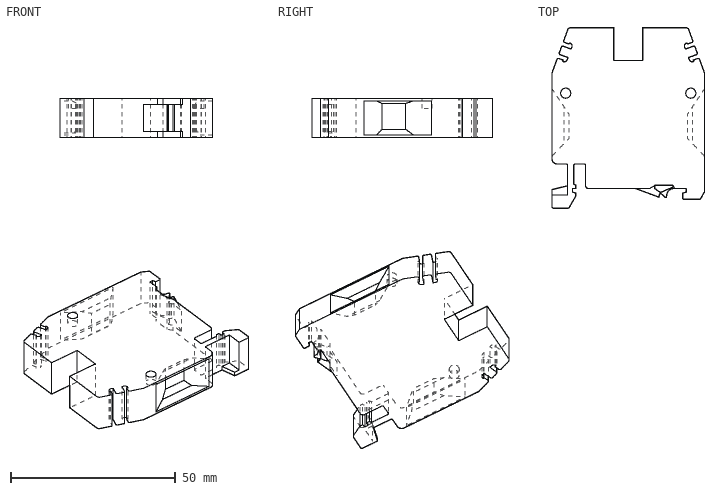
import cadquery as cq
import math

width = 46.5
height = 55.0
thickness = 12.0
half_width = width / 2

shoulder_y = 41.2
shoulder_angle = math.radians(20)
shoulder_radius = 1.9
top_corner_radius = 0.95
slot_width = 1.15
slot_depth = 2.95
hook_start = 1.9
hook_size = 0.45
hook_radius = 0.95
lower_slot_start = 4.9
upper_slot_start = 8.85
mouth_radius = 0.5

notch_width = 8.8
notch_depth = 10.0

hole_diameter = 3.1
hole_depth = 3.1
hole_x = 19.05
hole_y = 35.05

entry_bottom = 15.85
entry_top = 36.4
entry_floor_bottom = 21.35
entry_floor_top = 28.55
entry_depth = 5.3
entry_straight_depth = 3.65
entry_wall = 0.75
entry_floor_low = 2.55
entry_floor_high = thickness - 1.6

base_y = 6.0
base_corner_radius = 1.0
arm_root_y = 13.5
arm_left = -18.55
arm_right = -16.55
arm_gap_right = -13.05
arm_root_radius = 0.4
body_corner_radius = 1.6
rail_groove_bottom = 4.95
rail_lip_drop = 0.3
foot_slope = math.tan(math.radians(30))

long_foot_top = 4.0
long_foot_tip = -15.95
long_foot_slope_y = 3.7
long_foot_groove_x = -16.95
long_foot_bump_y = 7.05
long_foot_bump_rise = 0.4
long_foot_outer_radius = 0.55
long_foot_inner_radius = 0.75

web_thickness = 1.4
web_outer_y = 5.7
web_inner_y = 6.9

short_foot_bottom = 2.7
short_foot_tip = 16.55
short_foot_groove_x = 17.6
short_foot_slope_y = 5.0
short_foot_radius = 0.4

recess_y = 7.0
recess_left = 6.5
recess_floor_left = 8.15
recess_floor_right = 13.55
recess_right = 14.15
clip_low = 1.9
clip_high = thickness - clip_low
clip_left = 2.2
clip_tip_y = 3.35
clip_neck_x = 9.8
clip_neck_y = 4.75
clip_neck_half = 0.1
wedge_tip_x = 9.35
wedge_back_x = 9.5
wedge_back_y = 4.2
tongue_tip_left = 11.2
tongue_tip_right = 11.6
tongue_curve_start = (11.9, 4.7)
tongue_curve_middle = (12.6, 5.55)
tongue_root_top = 6.6


def rounded_outline(corners):
    """Closed wire through (x, y, radius) corners; radius 0 keeps a corner sharp."""
    wire = None
    for i, (x, y, radius) in enumerate(corners):
        before = cq.Vector(*corners[i - 1][:2])
        after = cq.Vector(*corners[(i + 1) % len(corners)][:2])
        corner = cq.Vector(x, y)
        to_before = (before - corner).normalized()
        to_after = (after - corner).normalized()
        half_angle = to_before.getAngle(to_after) / 2
        tangent = radius / math.tan(half_angle)
        start = corner + to_before * tangent
        if wire is None:
            wire = cq.Workplane("XY").moveTo(start.x, start.y)
        else:
            wire = wire.lineTo(start.x, start.y)
        if radius > 0:
            bisector = (to_before + to_after).normalized()
            middle = corner + bisector * (radius / math.sin(half_angle) - radius)
            end = corner + to_after * tangent
            wire = wire.threePointArc((middle.x, middle.y), (end.x, end.y))
    return wire.close()


def shoulder_point(along, depth, radius):
    """Corner at a distance up the left shoulder and a depth square to it."""
    x = -half_width + along * math.sin(shoulder_angle) + depth * math.cos(shoulder_angle)
    y = shoulder_y + along * math.cos(shoulder_angle) - depth * math.sin(shoulder_angle)
    return (x, y, radius)


def hooked_slot(start, hook_down):
    """Corners of one shoulder slot, from its lower mouth to its upper mouth."""
    end = start + slot_width
    if hook_down:
        hook = start - hook_size
        return [
            shoulder_point(start, 0, mouth_radius),
            shoulder_point(start, hook_start, 0),
            shoulder_point(hook, hook_start, 0),
            shoulder_point(hook, slot_depth, hook_radius),
            shoulder_point(end, slot_depth, 0),
            shoulder_point(end, 0, mouth_radius),
        ]
    hook = end + hook_size
    return [
        shoulder_point(start, 0, mouth_radius),
        shoulder_point(start, slot_depth, 0),
        shoulder_point(hook, slot_depth, hook_radius),
        shoulder_point(hook, hook_start, 0),
        shoulder_point(end, hook_start, 0),
        shoulder_point(end, 0, mouth_radius),
    ]


def upper_left_corners():
    """Left half of the upper outline, from the side up to the notch."""
    shoulder_run = (height - shoulder_y) * math.tan(shoulder_angle)
    return [
        (-half_width, shoulder_y, shoulder_radius),
        *hooked_slot(lower_slot_start, hook_down=True),
        *hooked_slot(upper_slot_start, hook_down=False),
        (-half_width + shoulder_run, height, top_corner_radius),
        (-notch_width / 2, height, 0),
        (-notch_width / 2, height - notch_depth, 0),
    ]


def lower_corners():
    """Rail side of the outline, from the short foot round to the arm's root."""
    short_foot_run = (short_foot_slope_y - short_foot_bottom) * foot_slope
    long_foot_run = long_foot_slope_y * foot_slope
    lip_y = rail_groove_bottom - rail_lip_drop
    return [
        (half_width, short_foot_slope_y, 0),
        (half_width - short_foot_run, short_foot_bottom, short_foot_radius),
        (short_foot_tip, short_foot_bottom, short_foot_radius),
        (short_foot_tip, lip_y, 0),
        (short_foot_groove_x, rail_groove_bottom, 0),
        (short_foot_groove_x, base_y, 0),
        (recess_right, base_y, 0),
        (recess_floor_right, recess_y, 0),
        (recess_floor_left, recess_y, 0),
        (recess_left, base_y, 0),
        (arm_gap_right, base_y, base_corner_radius),
        (arm_gap_right, arm_root_y, arm_root_radius),
        (arm_right, arm_root_y, arm_root_radius),
        (arm_right, long_foot_bump_y + long_foot_bump_rise, 0),
        (long_foot_tip, long_foot_bump_y, 0),
        (long_foot_tip, base_y, 0),
        (long_foot_groove_x, base_y, 0),
        (long_foot_groove_x, rail_groove_bottom, 0),
        (long_foot_tip, lip_y, 0),
        (long_foot_tip, long_foot_slope_y, 0),
        (long_foot_tip - long_foot_run, 0, long_foot_inner_radius),
        (-half_width, 0, long_foot_outer_radius),
        (-half_width, long_foot_top, 0),
        (arm_left, long_foot_top, 0),
        (arm_left, arm_root_y, arm_root_radius),
        (-half_width, arm_root_y, body_corner_radius),
    ]


def make_body():
    left = upper_left_corners()
    right = [(-x, y, radius) for x, y, radius in reversed(left)]
    return rounded_outline(left + right + lower_corners()).extrude(thickness)


def make_web():
    return (
        cq.Workplane("XY")
        .moveTo(-half_width, long_foot_top)
        .lineTo(arm_left, long_foot_top)
        .lineTo(arm_left, web_inner_y)
        .lineTo(-half_width, web_outer_y)
        .close()
        .extrude(web_thickness)
    )


def make_clip():
    """Wedge and hooked tongue, joined at a thin neck."""
    root_x = (recess_floor_right + recess_right) / 2
    return (
        cq.Workplane("XY", origin=(0, 0, clip_low))
        .moveTo(clip_left, base_y)
        .lineTo(wedge_tip_x, clip_tip_y)
        .lineTo(wedge_back_x, wedge_back_y)
        .lineTo(clip_neck_x, clip_neck_y - clip_neck_half)
        .lineTo(tongue_tip_left, clip_tip_y)
        .lineTo(tongue_tip_right, clip_tip_y)
        .lineTo(*tongue_curve_start)
        .threePointArc(tongue_curve_middle, (recess_right, base_y))
        .lineTo(root_x, tongue_root_top)
        .lineTo(clip_neck_x, clip_neck_y + clip_neck_half)
        .lineTo(recess_floor_left, base_y)
        .lineTo(recess_floor_left, recess_y)
        .lineTo(recess_left, base_y)
        .close()
        .extrude(clip_high - clip_low)
    )


def make_wire_entry():
    """Left wire entry: ends taper over the full depth, faces only near the floor."""
    mouth_x = -half_width
    floor_x = mouth_x + entry_depth
    taper_x = mouth_x + entry_straight_depth
    plan = (
        cq.Workplane("XY")
        .moveTo(mouth_x, entry_bottom)
        .lineTo(floor_x, entry_floor_bottom)
        .lineTo(floor_x, entry_floor_top)
        .lineTo(mouth_x, entry_top)
        .close()
        .extrude(thickness)
    )
    section = (
        cq.Workplane("XZ")
        .moveTo(mouth_x, entry_wall)
        .lineTo(taper_x, entry_wall)
        .lineTo(floor_x, entry_floor_low)
        .lineTo(floor_x, entry_floor_high)
        .lineTo(taper_x, thickness - entry_wall)
        .lineTo(mouth_x, thickness - entry_wall)
        .close()
        .extrude(-height)
    )
    return plan.intersect(section)


def make_holes():
    return (
        cq.Workplane("XY", origin=(0, 0, thickness - hole_depth))
        .pushPoints([(-hole_x, hole_y), (hole_x, hole_y)])
        .circle(hole_diameter / 2)
        .extrude(hole_depth)
    )


wire_entry = make_wire_entry()
result = (
    make_body()
    .union(make_web())
    .union(make_clip())
    .cut(wire_entry)
    .cut(wire_entry.mirror("YZ"))
    .cut(make_holes())
)